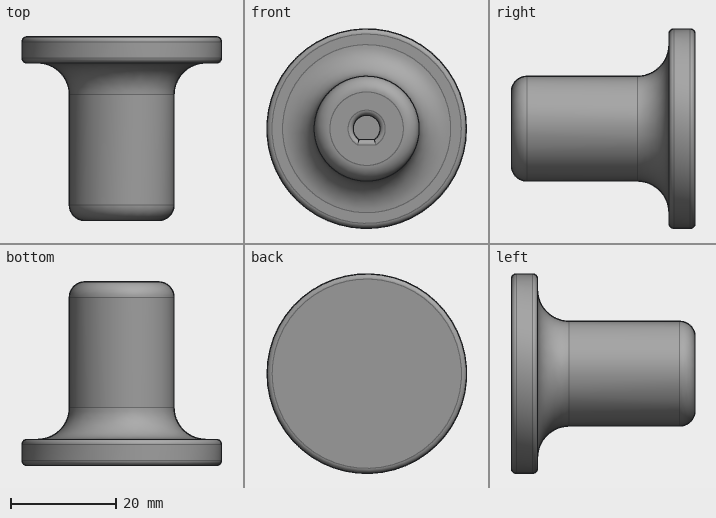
import cadquery as cq
import math

flange_diameter = 38.0
flange_thickness = 5.0
flange_edge_radius = 1.0
total_length = 35.0
shaft_diameter = 20.0
shaft_end_radius = 3.0
neck_radius = 6.0
bore_diameter = 5.1
bore_flat_offset = 2.1
bore_depth = 15.0
bore_edge_radius = 1.0

flange_radius = flange_diameter / 2
shaft_radius = shaft_diameter / 2
bore_radius = bore_diameter / 2
flange_front = total_length - flange_thickness
diagonal = math.sqrt(0.5)


def rounded_corner(profile, center, radius, direction, end):
    """Add a quarter arc bulging from its center along the diagonal direction."""
    middle = (
        center[0] + direction[0] * radius * diagonal,
        center[1] + direction[1] * radius * diagonal,
    )
    return profile.threePointArc(middle, end)


def make_body():
    """Revolve the half section about the Y axis; the shaft end lies at Y = 0."""
    rim_center_radius = flange_radius - flange_edge_radius
    profile = cq.Workplane("XY").lineTo(shaft_radius - shaft_end_radius, 0)
    profile = rounded_corner(
        profile, (shaft_radius - shaft_end_radius, shaft_end_radius), shaft_end_radius,
        (1, -1), (shaft_radius, shaft_end_radius),
    )
    profile = profile.lineTo(shaft_radius, flange_front - neck_radius)
    profile = rounded_corner(
        profile, (shaft_radius + neck_radius, flange_front - neck_radius), neck_radius,
        (-1, 1), (shaft_radius + neck_radius, flange_front),
    )
    profile = profile.lineTo(rim_center_radius, flange_front)
    profile = rounded_corner(
        profile, (rim_center_radius, flange_front + flange_edge_radius), flange_edge_radius,
        (1, -1), (flange_radius, flange_front + flange_edge_radius),
    )
    profile = profile.lineTo(flange_radius, total_length - flange_edge_radius)
    profile = rounded_corner(
        profile, (rim_center_radius, total_length - flange_edge_radius), flange_edge_radius,
        (1, 1), (rim_center_radius, total_length),
    )
    return profile.lineTo(0, total_length).close().revolve(360, (0, 0), (0, 1))


def make_bore():
    """D-shaped blind bore with its flat on the -Z side."""
    half_flat = math.sqrt(bore_radius**2 - bore_flat_offset**2)
    return (
        cq.Workplane("XZ")
        .moveTo(-half_flat, -bore_flat_offset)
        .threePointArc((0, bore_radius), (half_flat, -bore_flat_offset))
        .close()
        .extrude(-bore_depth)
    )


bored_body = make_body().cut(make_bore())

mouth_box = cq.selectors.BoxSelector(
    (-bore_diameter, -bore_edge_radius, -bore_diameter),
    (bore_diameter, bore_edge_radius, bore_diameter),
)
mouth_edges = bored_body.faces("<Y").edges(mouth_box)
result = mouth_edges.fillet(bore_edge_radius)